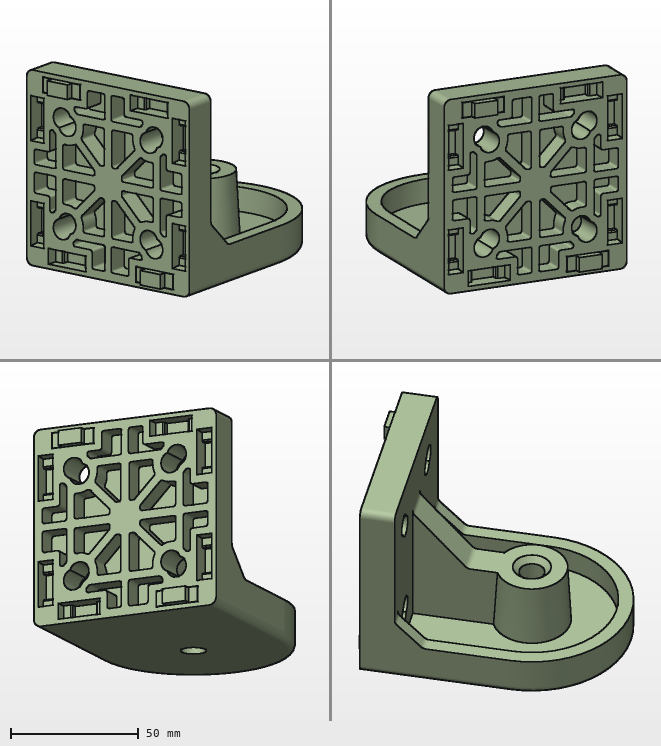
import cadquery as cq
import math

plate_side = 79.8
plate_thickness = 14.0
key_projection = 2.8
total_depth = 103.1
round_radius = 3.0

tray_height = 16.0
tray_wall = 6.0
tray_floor = 6.0

boss_height = 32.0
boss_top_diameter = 28.0
boss_base_diameter = 30.8
bore_diameter = 10.1
countersink = 2.5

rib_width = 13.0
rib_run = 22.0
rib_rise = 24.0
side_gusset_run = 11.4
side_gusset_rise = 10.9

screw_diameter = 8.5
screw_inner_offset = 20.0
screw_outer_offset = 22.6

pocket_depth = 8.6
pocket_corner_radius = 1.0
web_half_width = 1.9
wedge_outer = 22.2
wedge_inner = 6.6
screw_boss_radius = 7.8

corner_pocket_web = 1.5
corner_pocket_inner = 25.6
corner_pocket_ledge = 28.6
corner_pocket_outer = 36.2
corner_pocket_chamfer = 1.4
wide_pocket_shoulder = 10.1
wide_pocket_tip = 16.6
narrow_pocket_shoulder = 7.8
narrow_pocket_tip = 17.0

slot_length = 18.4
slot_height = 6.4
slot_depth = 4.4
slot_end_draft = 0.3
slot_radius = 34.7
keyed_slot_shift = -22.8
plain_slot_shift = 20.1
recess_length = 10.3
recess_chamfer = 0.6

key_end_gap = 0.2
key_height = 6.1
key_block_length = 10.1
key_block_draft = 1.5

half_side = plate_side / 2
plate_centre_z = half_side
tray_radius = half_side
tray_centre_y = total_depth - key_projection - tray_radius
recess_depth = slot_depth + key_projection
plate_centre = cq.Vector(0, 0, plate_centre_z)


def front_plane():
    """Sketch plane on the plate front, centred on the plate; positive extrusion leaves the plate."""
    return cq.Workplane("XZ", origin=plate_centre)


def turned(shape, angle):
    """Turn a shape about the axis through the plate centre."""
    return shape.rotate(plate_centre, plate_centre + cq.Vector(0, 1, 0), angle)


def d_outline(half_width, start_y, z):
    """Straight-sided outline closed by a half circle about the tray centre."""
    return (
        cq.Workplane("XY", origin=(0, 0, z))
        .moveTo(-half_width, start_y)
        .lineTo(half_width, start_y)
        .lineTo(half_width, tray_centre_y)
        .threePointArc((0, tray_centre_y + half_width), (-half_width, tray_centre_y))
        .close()
    )


def make_tray():
    tray = d_outline(tray_radius, 0, 0).extrude(tray_height)
    return tray.faces("<Z").edges("not <Y").fillet(round_radius)


def make_plate():
    plate = cq.Workplane("XY").box(plate_side, plate_thickness, plate_side, centered=(True, False, False))
    return plate.edges("|Y").fillet(round_radius)


def make_gusset(width, foot_z, toe_y, run, rise):
    """Sloping web behind the plate, with a level foot that reaches back to toe_y."""
    knee = (plate_thickness + run, foot_z)
    crest = (plate_thickness, foot_z + rise)
    outline = [
        (plate_thickness / 2, tray_floor),
        (toe_y, tray_floor),
        (toe_y, foot_z),
        knee,
        crest,
        (plate_thickness, plate_side - round_radius),
        (plate_thickness / 2, plate_side - round_radius),
    ]
    gusset = cq.Workplane("YZ").polyline(outline).close().extrude(width / 2, both=True)
    for y, z in (knee, crest):
        gusset = gusset.edges(cq.NearestToPointSelector((0, y, z))).fillet(round_radius)
    return gusset


def make_boss():
    boss_rise = boss_height - tray_floor
    draft = math.degrees(math.atan2((boss_base_diameter - boss_top_diameter) / 2, boss_rise))
    return (
        cq.Workplane("XY", origin=(0, tray_centre_y, tray_floor))
        .circle(boss_base_diameter / 2)
        .extrude(boss_rise, taper=draft)
    )


def make_bore():
    bore_radius = bore_diameter / 2
    profile = [
        (0, 0),
        (bore_radius, 0),
        (bore_radius, boss_height - countersink),
        (bore_radius + countersink, boss_height),
        (0, boss_height),
    ]
    bore = cq.Workplane("XZ").polyline(profile).close().revolve(360, (0, 0), (0, 1))
    return bore.translate((0, tray_centre_y, 0))


def make_screw_hole():
    """Two overlapping bores on the plate diagonal."""
    inner, outer = [
        front_plane().center(offset, offset).circle(screw_diameter / 2).extrude(-plate_thickness)
        for offset in (screw_inner_offset, screw_outer_offset)
    ]
    return inner.union(outer)


def make_wedge_pocket():
    """Pocket between an axis web and a diagonal web, hollowed around the screw hole."""
    diagonal_step = web_half_width * math.sqrt(2)
    side = screw_inner_offset - screw_boss_radius

    half_step = diagonal_step / 2
    reach = math.sqrt(screw_boss_radius ** 2 / 2 - half_step ** 2)
    arc_end_x = screw_inner_offset - half_step - reach
    arc_end = (arc_end_x, arc_end_x + diagonal_step)
    end_angle = math.atan2(arc_end[1] - screw_inner_offset, arc_end[0] - screw_inner_offset)
    mid_angle = (end_angle % math.tau + math.pi) / 2
    arc_middle = (
        screw_inner_offset + screw_boss_radius * math.cos(mid_angle),
        screw_inner_offset + screw_boss_radius * math.sin(mid_angle),
    )
    pocket = (
        front_plane()
        .moveTo(web_half_width, wedge_inner)
        .lineTo(web_half_width, wedge_outer)
        .lineTo(side, wedge_outer)
        .lineTo(side, screw_inner_offset)
        .threePointArc(arc_middle, arc_end)
        .lineTo(wedge_inner - diagonal_step, wedge_inner)
        .close()
        .extrude(-pocket_depth)
    )
    return pocket.edges("|Y").fillet(pocket_corner_radius)


def make_corner_pocket(shoulder, tip):
    """L-shaped pocket beside the upper plate axis, with its foot pointing to +X."""
    outline = [
        (corner_pocket_web, corner_pocket_inner),
        (corner_pocket_web, corner_pocket_outer),
        (shoulder, corner_pocket_outer),
        (shoulder, corner_pocket_ledge),
        (tip, corner_pocket_ledge),
        (tip, corner_pocket_inner + corner_pocket_chamfer),
        (tip - corner_pocket_chamfer, corner_pocket_inner),
    ]
    pocket = front_plane().polyline(outline).close().extrude(-pocket_depth)
    return pocket.edges("|Y").fillet(pocket_corner_radius)


def slot_prism(half_outline, height):
    """Prism along the slot centre line at the top of the plate.

    The outline lists (length, depth) points of the +X half and is mirrored about the middle.
    """
    mirrored = [(-x, y) for x, y in reversed(half_outline)]
    base_z = plate_centre_z + slot_radius - height / 2
    sketch = cq.Workplane("XY", origin=(0, 0, base_z))
    return sketch.polyline(half_outline + mirrored).close().extrude(height)


def make_slot(shift):
    """Key slot with drafted ends and a deeper recess in the middle."""
    mouth = slot_length / 2
    bottom = mouth - slot_end_draft
    recess = recess_length / 2
    half = [
        (mouth, 0),
        (bottom, slot_depth),
        (recess + recess_chamfer, slot_depth),
        (recess, slot_depth + recess_chamfer),
        (recess, recess_depth),
    ]
    return slot_prism(half, slot_height).translate((shift, 0, 0))


def make_bracket():
    side_gussets = make_gusset(plate_side, tray_height, tray_centre_y, side_gusset_run, side_gusset_rise)
    cavity = d_outline(tray_radius - tray_wall, plate_thickness, tray_floor).extrude(plate_side)
    rib = make_gusset(rib_width, boss_height, tray_centre_y, rib_run, rib_rise)

    shell = make_tray().union(make_plate()).union(side_gussets).cut(cavity)
    bracket = shell.union(make_boss()).union(rib).cut(make_bore())

    wedge = make_wedge_pocket()
    quarter = [
        make_screw_hole(),
        wedge,
        wedge.mirror("YZ"),
        make_corner_pocket(narrow_pocket_shoulder, narrow_pocket_tip),
        make_corner_pocket(wide_pocket_shoulder, wide_pocket_tip).mirror("YZ"),
        make_slot(keyed_slot_shift),
        make_slot(plain_slot_shift),
    ]
    for quarter_turn in range(4):
        for cutter in quarter:
            bracket = bracket.cut(turned(cutter, 90 * quarter_turn))
    return bracket


def make_key(angle):
    """T-shaped key: a flange that fills the slot mouth and a block that stands out of the plate."""
    flange_front = slot_length / 2 - key_end_gap
    flange_back = flange_front - slot_end_draft
    flange = slot_prism([(flange_front, 0), (flange_back, slot_depth)], key_height)
    block = (
        front_plane()
        .center(0, slot_radius)
        .rect(key_block_length, key_height)
        .extrude(key_projection, taper=key_block_draft)
    )
    key = flange.union(block).translate((keyed_slot_shift, 0, 0))
    return turned(key, angle)


bracket = make_bracket()
keys = [make_key(angle) for angle in (0, 180)]

result = cq.Compound.makeCompound([bracket.val(), *[key.val() for key in keys]])